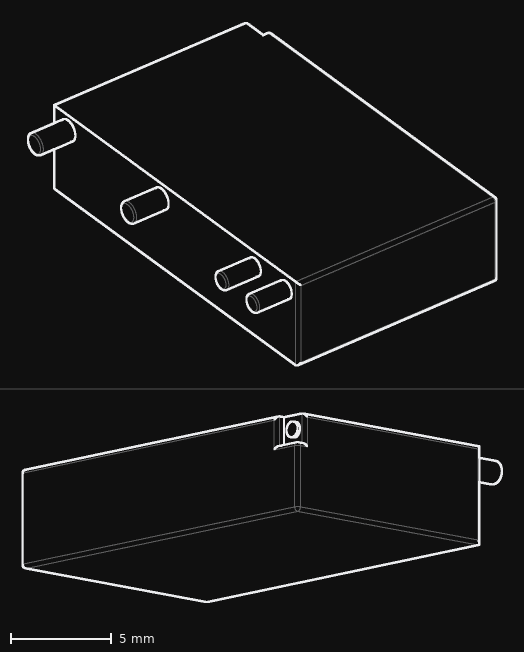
import cadquery as cq

length = 20
depth = 12.5
height = 5
edge_radius = 0.2

notch_x = 1.5
notch_y = 0.5
notch_z = 1.5

boss_diameter = 0.8
boss_rise = 0.15

pin_length = 2.1
pin_z = 4.1
pin_tip_radius = 0.1
first_pin_x = 1.25
wide_pitch = 7.6
narrow_pitch = 2.52
thick_diameter = 1.2
thin_diameter = 1.02


def make_case():
    """Notched block, rounded around its end faces and its rear face."""
    block = cq.Workplane("XY").box(length, depth, height, centered=False)
    notch = (
        cq.Workplane("XY")
        .box(notch_x, notch_y, notch_z, centered=False)
        .translate((0, depth - notch_y, height - notch_z))
    )
    return block.cut(notch).edges("<X or >X or >Y").fillet(edge_radius)


def make_boss():
    """Round boss standing on the notch wall."""
    return (
        cq.Workplane("XZ", origin=(notch_x / 2, depth - notch_y, height - notch_z / 2))
        .circle(boss_diameter / 2)
        .extrude(-boss_rise)
    )


def make_pin(x, diameter):
    """Round pin with a rounded tip, pointing to the front."""
    return (
        cq.Workplane("XZ", origin=(x, 0, pin_z))
        .circle(diameter / 2)
        .extrude(pin_length)
        .faces("<Y")
        .fillet(pin_tip_radius)
    )


second_pin_x = first_pin_x + wide_pitch
third_pin_x = second_pin_x + wide_pitch
fourth_pin_x = third_pin_x + narrow_pitch
pins = [
    (first_pin_x, thick_diameter),
    (second_pin_x, thick_diameter),
    (third_pin_x, thin_diameter),
    (fourth_pin_x, thin_diameter),
]

result = make_case().union(make_boss())
for pin_x, pin_diameter in pins:
    result = result.union(make_pin(pin_x, pin_diameter))